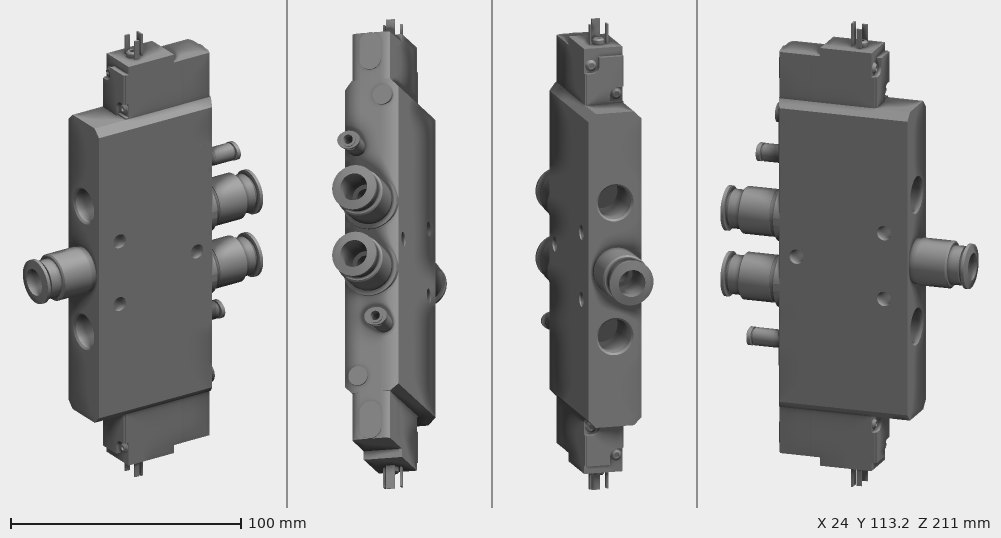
import cadquery as cq
import math


body_width = 24.0
body_depth = 61.0
body_length = 100.0
back_flat_width = 9.7
body_round_radius = 13.3

mount_hole_dia = 6.5
front_mount_y = 10.8
rear_mount_y = 51.0

port_pitch = 30.0
port_dia = 15.0
port_mouth_dia = 16.7
port_depth = 21.0
port_boss_height = 0.8
port_boss_dia = 24.3
rear_seat_y = body_depth + port_boss_height

cap_end_z = 70.3
cap_chamfer = 3.4
cap_screw_dia = 8.7
cap_screw_height = 0.8
cap_screw_x = -5.5
cap_screw_z = 62.9
pilot_width = body_width - 2 * cap_chamfer
pilot_base_inset = 0.1
pilot_base_width = pilot_width - 2 * pilot_base_inset
pilot_round_radius = 6.3
pilot_base_end_z = 91.4
pilot_base_front_y = 45.2
terminal_back_y = 41.4
terminal_end_z = 95.2
terminal_front_y = 17.7
override_length = 16.7
override_height = 0.6

cover_lower_y = 16.2
cover_front_y = 15.5
cover_width = 16.0
screw_x = 5.7
upper_screw_z = 87.5
lower_screw_z = 74.3
screw_pocket_dia = 6.5
screw_head_dia = 5.0
screw_head_height = 1.3
screw_head_bevel = 1.0
screw_socket_dia = 2.0
screw_socket_depth = 0.8

contact_y = 25.1
stud_dia = 5.0
stud_height = 2.5
stud_bevel = 0.6
stud_hole_dia = 2.0
side_blade_x = 3.8
side_blade_width = 2.3
side_blade_end_z = 104.0
ground_blade_y = 29.1
ground_blade_width = 3.8
ground_blade_end_z = 105.5
blade_thickness = 0.8

fitting_neck_dia = 20.0
fitting_neck_end = 2.5
fitting_sleeve_dia = 20.9
fitting_sleeve_end = 17.0
fitting_sleeve_bevel = 0.6
fitting_collar_dia = 17.3
fitting_collar_end = 22.2
fitting_groove_dia = 15.0
fitting_flange_start = 23.6
fitting_flange_dia = 19.8
fitting_flange_end = 25.1
fitting_length = 25.7
fitting_bore_dia = 12.0
fitting_bore_depth = 19.0
fitting_passage_dia = 8.0

exhaust_x = 6.1
exhaust_z = 40.0
exhaust_base_dia = 7.8
exhaust_base_end = 1.3
exhaust_tube_dia = 8.0
exhaust_tube_end = 11.0
exhaust_groove_dia = 6.5
exhaust_flange_start = 11.8
exhaust_flange_end = 13.5
exhaust_flange_width = 10.1
exhaust_length = 14.1
exhaust_bore_dia = 4.2


def box(x_range, y_range, z_range):
    """Block between pairs of X, Y and Z limits."""
    size = [high - low for low, high in (x_range, y_range, z_range)]
    corner = (x_range[0], y_range[0], z_range[0])
    return cq.Workplane("XY").box(*size, centered=False).translate(corner)


def disc(dia, x, z, y_start, y_end):
    """Cylinder along Y."""
    plane = cq.Plane((x, y_start, z), xDir=(1, 0, 0), normal=(0, 1, 0))
    return cq.Workplane(plane).circle(dia / 2).extrude(y_end - y_start)


def turned(steps):
    """Solid of revolution about Y from (diameter, distance) points."""
    outline = [(0, steps[0][1])] + [(dia / 2, y) for dia, y in steps] + [(0, steps[-1][1])]
    return cq.Workplane("XY").polyline(outline).close().revolve(360, (0, 0, 0), (0, 1, 0))


def half_turn(shape):
    """Copy on the opposite Z end, turned about Y."""
    return shape.rotate((0, 0, 0), (0, 1, 0), 180)


def back_curve_y(x, radius):
    """Y of the rounded back edge at a distance x from the centre plane."""
    rise = math.sqrt(radius**2 - (x - back_flat_width / 2) ** 2)
    return body_depth - radius + rise


body_side_y = back_curve_y(body_width / 2, body_round_radius)


def profile_bar(width, radius, y_front, z_start, z_end):
    """Bar along Z, flat at the front and rounded towards both sides at the back."""
    side = width / 2
    flat = back_flat_width / 2
    middle = (side + flat) / 2
    side_y = back_curve_y(side, radius)
    middle_y = back_curve_y(middle, radius)
    return (
        cq.Workplane("XY")
        .workplane(offset=z_start)
        .moveTo(-side, y_front)
        .lineTo(side, y_front)
        .lineTo(side, side_y)
        .threePointArc((middle, middle_y), (flat, body_depth))
        .lineTo(-flat, body_depth)
        .threePointArc((-middle, middle_y), (-side, side_y))
        .close()
        .extrude(z_end - z_start)
    )


def make_valve_body():
    half_width = body_width / 2
    half_length = body_length / 2
    body = profile_bar(body_width, body_round_radius, 0, -half_length, half_length)

    rear_seat = disc(port_boss_dia, 0, 0, body_side_y, rear_seat_y).intersect(
        box((-half_width, half_width), (0, rear_seat_y), (-half_length, half_length))
    )
    for z in (-port_pitch / 2, port_pitch / 2):
        body = body.union(rear_seat.translate((0, 0, z)))

    exhaust_seat = disc(exhaust_base_dia, exhaust_x, exhaust_z, body_side_y, body_depth)
    body = body.union(exhaust_seat).union(half_turn(exhaust_seat))

    mouth_depth = (port_mouth_dia - port_dia) / 2
    port = turned([(port_mouth_dia, 0), (port_dia, mouth_depth), (port_dia, port_depth)])
    for z in (-port_pitch, port_pitch):
        body = body.cut(port.translate((0, 0, z)))

    mount_points = [
        (front_mount_y, -port_pitch / 2),
        (front_mount_y, port_pitch / 2),
        (rear_mount_y, 0),
    ]
    holes = (
        cq.Workplane("YZ")
        .pushPoints(mount_points)
        .circle(mount_hole_dia / 2)
        .extrude(half_width, both=True)
    )
    return body.cut(holes)


def make_cap():
    cap = profile_bar(body_width, body_round_radius, 0, body_length / 2, cap_end_z)
    cap = cap.faces(">Z").edges("<X or >X").chamfer(cap_chamfer)
    screw = disc(cap_screw_dia, cap_screw_x, cap_screw_z, body_side_y, body_depth + cap_screw_height)
    return cap.union(screw)


def make_cover():
    """Stepped front cover of the pilot with two open screw pockets."""
    side = pilot_width / 2
    inner = cover_width / 2
    z_range = (cap_end_z, pilot_base_end_z)
    cover = box((-side, side), (cover_lower_y, terminal_front_y), z_range)
    cover = cover.union(box((-inner, inner), (cover_front_y, cover_lower_y), z_range))

    y_range = (cover_front_y, terminal_front_y)
    pocket_radius = screw_pocket_dia / 2
    reach = screw_x - pocket_radius
    upper_floor_z = upper_screw_z - pocket_radius
    lower_floor_z = lower_screw_z - pocket_radius
    lower_top_z = lower_screw_z + pocket_radius
    pockets = [
        disc(screw_pocket_dia, -screw_x, upper_screw_z, *y_range),
        box((-side, -screw_x), y_range, (upper_floor_z, pilot_base_end_z)),
        box((-side, -reach), y_range, (upper_screw_z, pilot_base_end_z)),
        disc(screw_pocket_dia, screw_x, lower_screw_z, *y_range),
        box((screw_x, side), y_range, (lower_floor_z, lower_top_z)),
        box((reach, side), y_range, (lower_floor_z, lower_screw_z)),
        box((reach, side), (cover_front_y, cover_lower_y), (cap_end_z, lower_floor_z)),
    ]
    for pocket in pockets:
        cover = cover.cut(pocket)
    return cover


def make_screw_head():
    """Bevelled socket head whose underside lies on y = 0, facing -Y."""
    crown_dia = screw_head_dia - 2 * screw_head_bevel
    head = turned([
        (screw_head_dia, 0),
        (screw_head_dia, screw_head_bevel - screw_head_height),
        (crown_dia, -screw_head_height),
    ])
    socket_floor_y = screw_socket_depth - screw_head_height
    return head.cut(disc(screw_socket_dia, 0, 0, -screw_head_height, socket_floor_y))


def make_contacts():
    """Hollow stud, two side blades and a ground blade."""
    contacts = (
        cq.Workplane("XY")
        .workplane(offset=terminal_end_z)
        .center(0, contact_y)
        .circle(stud_dia / 2)
        .extrude(stud_height)
        .faces(">Z")
        .chamfer(stud_bevel)
        .faces(">Z")
        .workplane()
        .hole(stud_hole_dia, stud_height)
    )
    half_blade = blade_thickness / 2
    for x in (-side_blade_x, side_blade_x):
        contacts = contacts.add(box(
            (x - half_blade, x + half_blade),
            (contact_y - side_blade_width / 2, contact_y + side_blade_width / 2),
            (terminal_end_z, side_blade_end_z),
        ))
    return contacts.add(box(
        (-ground_blade_width / 2, ground_blade_width / 2),
        (ground_blade_y - half_blade, ground_blade_y + half_blade),
        (terminal_end_z, ground_blade_end_z),
    ))


def make_override():
    """Raised strip with rounded ends on the back of the pilot base."""
    middle_z = pilot_base_end_z - override_length / 2
    plane = cq.Plane((0, body_depth, middle_z), xDir=(0, 0, 1), normal=(0, 1, 0))
    return cq.Workplane(plane).slot2D(override_length, back_flat_width).extrude(override_height)


def make_end_module():
    side = pilot_width / 2
    base = profile_bar(
        pilot_base_width, pilot_round_radius, pilot_base_front_y, cap_end_z, pilot_base_end_z
    )
    override = make_override()
    coil = box(
        (-side, side), (terminal_front_y, pilot_base_front_y), (cap_end_z, pilot_base_end_z)
    )
    terminal = box(
        (-side, side), (terminal_front_y, terminal_back_y), (pilot_base_end_z, terminal_end_z)
    )
    module = make_cap()
    for part in (base, override, coil, terminal, make_cover()):
        module = module.union(part)
    for x, z in ((-screw_x, upper_screw_z), (screw_x, lower_screw_z)):
        module = module.union(make_screw_head().translate((x, terminal_front_y, z)))
    for contact in make_contacts().vals():
        module = module.union(cq.Workplane(contact))
    return module


def make_port_fitting():
    """Large push-in fitting seated on y = 0, pointing to +Y."""
    fitting = turned([
        (fitting_neck_dia, 0),
        (fitting_neck_dia, fitting_neck_end),
        (fitting_sleeve_dia, fitting_neck_end),
        (fitting_sleeve_dia, fitting_sleeve_end - fitting_sleeve_bevel),
        (fitting_sleeve_dia - 2 * fitting_sleeve_bevel, fitting_sleeve_end),
        (fitting_collar_dia, fitting_sleeve_end),
        (fitting_collar_dia, fitting_collar_end),
        (fitting_groove_dia, fitting_collar_end),
        (fitting_groove_dia, fitting_flange_start),
        (fitting_flange_dia, fitting_flange_start),
        (fitting_flange_dia, fitting_flange_end),
        (fitting_bore_dia, fitting_length),
    ])
    bore_start = fitting_length - fitting_bore_depth
    fitting = fitting.cut(disc(fitting_bore_dia, 0, 0, bore_start, fitting_length))
    return fitting.cut(disc(fitting_passage_dia, 0, 0, 0, bore_start))


def make_exhaust_fitting():
    """Small push-in fitting seated on y = 0, with an oval release flange."""
    stem = turned([
        (exhaust_base_dia, 0),
        (exhaust_base_dia, exhaust_base_end),
        (exhaust_tube_dia, exhaust_base_end),
        (exhaust_tube_dia, exhaust_tube_end),
        (exhaust_groove_dia, exhaust_tube_end),
        (exhaust_groove_dia, exhaust_length),
    ])
    flange_plane = cq.Plane((0, exhaust_flange_start, 0), xDir=(1, 0, 0), normal=(0, 1, 0))
    flange = (
        cq.Workplane(flange_plane)
        .ellipse(exhaust_flange_width / 2, exhaust_tube_dia / 2)
        .extrude(exhaust_flange_end - exhaust_flange_start)
    )
    bore = disc(exhaust_bore_dia, 0, 0, 0, exhaust_length)
    return stem.union(flange).cut(bore)


valve_body = make_valve_body()

end_module = make_end_module()
end_modules = [end_module, half_turn(end_module)]

front_fitting = make_port_fitting().rotate((0, 0, 0), (0, 0, 1), 180)
port_fittings = [front_fitting]
for fitting_z in (-port_pitch / 2, port_pitch / 2):
    port_fittings.append(make_port_fitting().translate((0, rear_seat_y, fitting_z)))

exhaust_fitting = make_exhaust_fitting().translate((exhaust_x, body_depth, exhaust_z))
exhaust_fittings = [exhaust_fitting, half_turn(exhaust_fitting)]

bodies = [valve_body, *end_modules, *port_fittings, *exhaust_fittings]
result = cq.Compound.makeCompound([body.solids().val() for body in bodies])